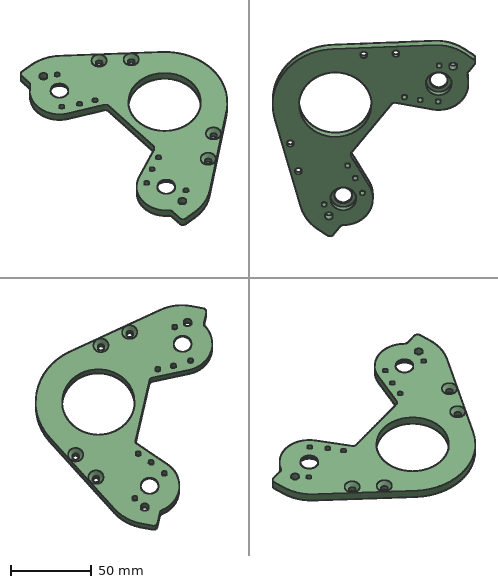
import math

import cadquery as cq

THICKNESS = 6.0
HALF_WIDTH = 76.565
BORE_DIAMETER = 45.0
CROWN_RADIUS = 39.0

HUB_X = -50.0
HUB_Y = -43.0
HUB_RADIUS = 18.5
SHOULDER_RADIUS = 29.0
SHELF_DROP = 10.0
SHELF_Y = HUB_Y - SHELF_DROP
CORNER_RADIUS = 2.5

NOTCH_TOP_Y = -28.0
NOTCH_ANGLE = math.radians(65.0)

HUB_HOLE_DIAMETER = 11.0
POCKET_DIAMETER = 16.0
LIP_THICKNESS = 1.5
POCKET_DEPTH = THICKNESS - LIP_THICKNESS

SMALL_HOLE_DIAMETER = 3.2
PIN_HOLE_DIAMETER = 5.0
PIN_OFFSET = 15.0
PAIR_RADIUS = 12.57
PAIR_ANGLE = math.radians(145.0)
NOTCH_HOLE_INSET = 5.0
NOTCH_HOLE_DISTANCES = (9.0, 19.0)

SCREW_DIAMETER = 4.3
COUNTERSINK_DIAMETER = 9.4
COUNTERSINK_ANGLE = 90.0
SCREW_INSET = 5.0
SCREW_DISTANCES = (19.2, 39.2)

SHOULDER_X = -HALF_WIDTH + SHOULDER_RADIUS
BORE = (0.0, 0.0)
HUB = (HUB_X, HUB_Y)
SHOULDER = (SHOULDER_X, HUB_Y)

SHOULDER_DIRECTION = math.atan2(HUB_Y, SHOULDER_X) + 2 * math.pi
SHOULDER_DISTANCE = math.hypot(SHOULDER_X, HUB_Y)
SIDE_ANGLE = SHOULDER_DIRECTION - math.acos((CROWN_RADIUS - SHOULDER_RADIUS) / SHOULDER_DISTANCE)

FLANK_NORMAL_ANGLE = NOTCH_ANGLE - math.pi / 2


def polar(center, radius, angle):
    """Point at a radius and angle from a centre."""
    return (center[0] + radius * math.cos(angle), center[1] + radius * math.sin(angle))


def mirrored(points):
    """The points together with their images across the YZ plane."""
    return points + [(-x, y) for x, y in points]


def half_plate():
    """Left half of the plate, cut off at the plane of symmetry."""
    flank_start = polar(HUB, HUB_RADIUS, FLANK_NORMAL_ANGLE)
    notch_corner_x = flank_start[0] + (NOTCH_TOP_Y - flank_start[1]) / math.tan(NOTCH_ANGLE)
    shelf_end_x = HUB_X - math.sqrt(HUB_RADIUS**2 - SHELF_DROP**2)
    crown_middle_angle = (math.pi / 2 + SIDE_ANGLE) / 2
    shoulder_middle_angle = (math.pi + SIDE_ANGLE) / 2
    half = (
        cq.Workplane("XY")
        .moveTo(0, CROWN_RADIUS)
        .threePointArc(polar(BORE, CROWN_RADIUS, crown_middle_angle), polar(BORE, CROWN_RADIUS, SIDE_ANGLE))
        .lineTo(*polar(SHOULDER, SHOULDER_RADIUS, SIDE_ANGLE))
        .threePointArc(polar(SHOULDER, SHOULDER_RADIUS, shoulder_middle_angle), (-HALF_WIDTH, HUB_Y))
        .lineTo(-HALF_WIDTH, SHELF_Y)
        .lineTo(shelf_end_x, SHELF_Y)
        .threePointArc((HUB_X, HUB_Y - HUB_RADIUS), flank_start)
        .lineTo(notch_corner_x, NOTCH_TOP_Y)
        .lineTo(0, NOTCH_TOP_Y)
        .close()
        .extrude(THICKNESS)
    )
    corners = [(-HALF_WIDTH, SHELF_Y), (shelf_end_x, SHELF_Y), (notch_corner_x, NOTCH_TOP_Y)]
    for x, y in corners:
        corner_edge = cq.selectors.NearestToPointSelector((x, y, THICKNESS / 2))
        half = half.edges("|Z").edges(corner_edge).fillet(CORNER_RADIUS)
    return half


def plate():
    """Full plate outline, both halves joined."""
    half = half_plate()
    return half.union(half.mirror("YZ")).clean()


def round_cut(points, diameter, depth=THICKNESS):
    """Cylinders rising from the underside, to be cut from the plate."""
    return cq.Workplane("XY").pushPoints(points).circle(diameter / 2).extrude(depth)


def small_hole_points():
    """Two opposite holes about each hub and a row along each notch flank."""
    points = [polar(HUB, PAIR_RADIUS, angle) for angle in (PAIR_ANGLE, PAIR_ANGLE + math.pi)]
    inset_point = polar(HUB, HUB_RADIUS - NOTCH_HOLE_INSET, FLANK_NORMAL_ANGLE)
    points += [polar(inset_point, distance, NOTCH_ANGLE) for distance in NOTCH_HOLE_DISTANCES]
    return mirrored(points)


def screw_points():
    """Screw positions in rows parallel to the sloping sides."""
    inset_point = polar(BORE, CROWN_RADIUS - SCREW_INSET, SIDE_ANGLE)
    return mirrored([polar(inset_point, distance, SIDE_ANGLE + math.pi / 2) for distance in SCREW_DISTANCES])


def drill_screws(body):
    """Countersunk through holes, sunk from the top face."""
    return (
        body.faces(">Z")
        .workplane(origin=(0, 0, THICKNESS))
        .pushPoints(screw_points())
        .cskHole(SCREW_DIAMETER, COUNTERSINK_DIAMETER, COUNTERSINK_ANGLE)
    )


result = (
    plate()
    .cut(round_cut([BORE], BORE_DIAMETER))
    .cut(round_cut(mirrored([HUB]), HUB_HOLE_DIAMETER))
    .cut(round_cut(mirrored([HUB]), POCKET_DIAMETER, POCKET_DEPTH))
    .cut(round_cut(mirrored([(HUB_X - PIN_OFFSET, HUB_Y)]), PIN_HOLE_DIAMETER))
    .cut(round_cut(small_hole_points(), SMALL_HOLE_DIAMETER))
)
result = drill_screws(result)